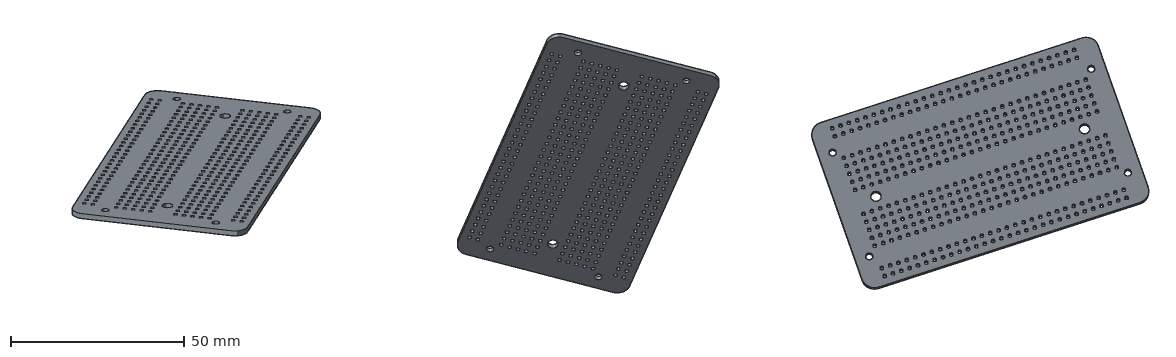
import cadquery as cq

board_width = 52.32
board_length = 87.12
board_thickness = 1.6
corner_radius = 3.81

pitch = 2.54
row_count = 30
contact_diameter = 1.04

strip_columns = 5
strip_center_x = 3.5 * pitch

rail_columns = 2
left_rail_x = -22.27
right_rail_x = 22.22
left_rail_y = 0.254
right_rail_y = 0.32

corner_hole_diameter = 2.05
corner_hole_x = 6.5 * pitch
corner_hole_y = 15.5 * pitch

mount_hole_diameter = 3.0
mount_hole_y = 12.5 * pitch


def make_board():
    """Flat plate with rounded corners, standing on Z = 0."""
    plate = cq.Workplane("XY").box(board_width, board_length, board_thickness, centered=(True, True, False))
    return plate.edges("|Z").fillet(corner_radius)


def contact_grid(center_x, center_y, columns):
    """Centres of a block of contact holes."""
    first_x = center_x - (columns - 1) * pitch / 2
    first_y = center_y - (row_count - 1) * pitch / 2
    return [
        (first_x + column * pitch, first_y + row * pitch)
        for column in range(columns)
        for row in range(row_count)
    ]


def drill_through(body, centers, diameter):
    """Cut one straight hole through the board at every centre."""
    drills = cq.Workplane("XY").pushPoints(centers).circle(diameter / 2).extrude(board_thickness)
    return body.cut(drills)


contact_centers = (
    contact_grid(-strip_center_x, 0, strip_columns)
    + contact_grid(strip_center_x, 0, strip_columns)
    + contact_grid(left_rail_x, left_rail_y, rail_columns)
    + contact_grid(right_rail_x, right_rail_y, rail_columns)
)
corner_hole_centers = [
    (side_x * corner_hole_x, side_y * corner_hole_y) for side_x in (-1, 1) for side_y in (-1, 1)
]
mount_hole_centers = [(0, -mount_hole_y), (0, mount_hole_y)]

result = make_board()
result = drill_through(result, contact_centers, contact_diameter)
result = drill_through(result, corner_hole_centers, corner_hole_diameter)
result = drill_through(result, mount_hole_centers, mount_hole_diameter)